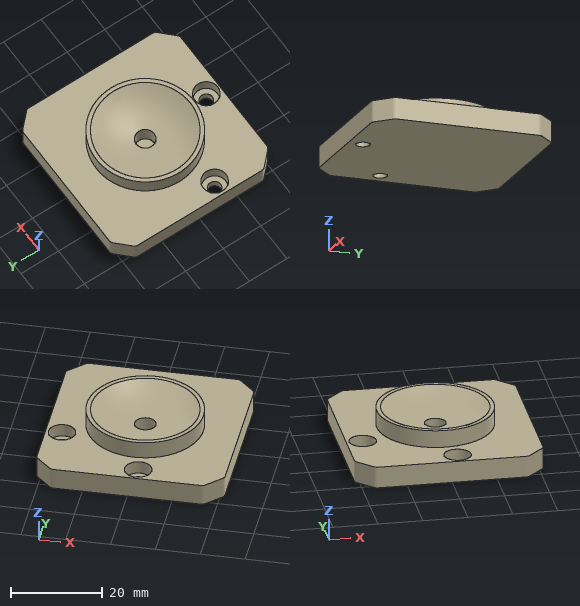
import cadquery as cq
import math

plate_side = 42.0
plate_thickness = 5.0
corner_cut = 4.0
corner_round_radius = 1.3

boss_diameter = 26.0
boss_height = 4.0
dish_diameter = 24.0
dish_depth = 4.0

center_hole_diameter = 4.7
center_hole_floor_thickness = 1.0

screw_hole_diameter = 3.2
counterbore_diameter = 6.0
counterbore_depth = 3.0
screw_positions = [(-17.3, -6.5), (1.8, -17.5)]

top_z = plate_thickness + boss_height
dish_rim_radius = dish_diameter / 2
dish_sphere_radius = (dish_rim_radius**2 + dish_depth**2) / (2 * dish_depth)
dish_center_z = top_z + math.sqrt(dish_sphere_radius**2 - dish_rim_radius**2)


def make_plate():
    """Square plate whose vertical corners are cut at 45 degrees and then rounded."""
    plate = cq.Workplane("XY").rect(plate_side, plate_side).extrude(plate_thickness)
    plate = plate.edges("|Z").chamfer(corner_cut)
    return plate.edges("|Z").fillet(corner_round_radius)


def make_cylinder(diameter, bottom_z, height, position=(0, 0)):
    """Upright cylinder standing on bottom_z."""
    base = cq.Workplane("XY").workplane(offset=bottom_z)
    return base.center(*position).circle(diameter / 2).extrude(height)


def make_dish():
    """Sphere whose lower cap is the hollow of the dish."""
    return cq.Workplane("XY").sphere(dish_sphere_radius).translate((0, 0, dish_center_z))


def cut_screw_hole(body, position):
    """Through hole with a counterbore sunk from the top of the plate."""
    counterbore_z = plate_thickness - counterbore_depth
    body = body.cut(make_cylinder(screw_hole_diameter, 0, plate_thickness, position))
    return body.cut(make_cylinder(counterbore_diameter, counterbore_z, counterbore_depth, position))


boss = make_cylinder(boss_diameter, plate_thickness, boss_height)
center_hole_height = top_z - center_hole_floor_thickness
center_hole = make_cylinder(center_hole_diameter, center_hole_floor_thickness, center_hole_height)

result = make_plate().union(boss).cut(make_dish()).cut(center_hole)
for screw_position in screw_positions:
    result = cut_screw_hole(result, screw_position)